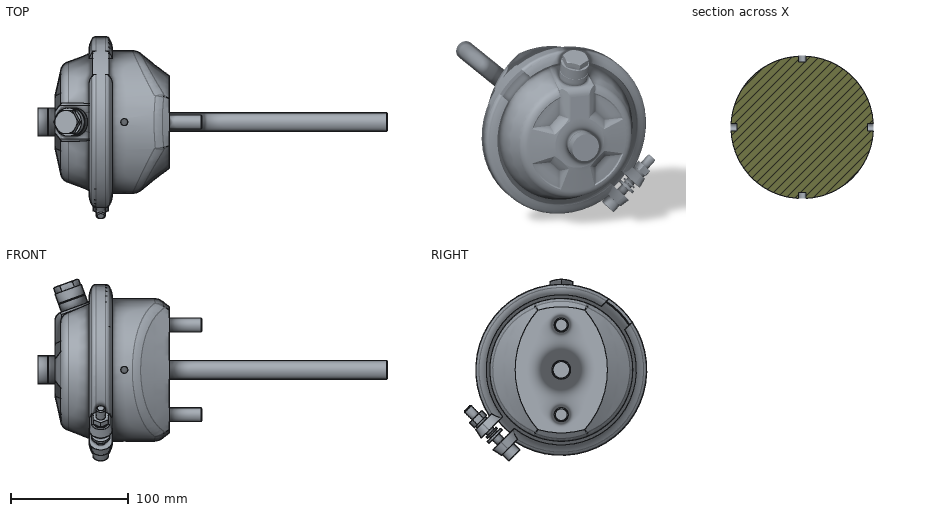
import cadquery as cq
import math

CAP_END_X = -111.9
CAP_GROOVE_X = -103.8
HUB_FACE_X = -97.4
COVER_SHOULDER_X = -92.5
COVER_FLOOR_X = -91.7
COVER_CONE_X = -85.6
BAND_X = -58.4
VENT_X = -38.4
PORT_TOP_X = -88.0
STUD_END_X = 27.7
ROD_END_X = 185.5

COVER_FLOOR_RADIUS = 43.0
COVER_SHOULDER_RADIUS = 44.0
COVER_SHOULDER_MID = (-90.3, 48.6)
COVER_CONE_RADIUS = 51.4
COVER_RIM_RADIUS = 60.2
HUB_RADIUS = 22.0
HUB_BASE_HALF = 29.0
ARM_BASE_HALF = 16.3
ARM_TOP_HALF = 9.0
CAP_DIAMETER = 24.0
GROOVE_WIDTH = 0.9
GROOVE_DEPTH = 0.4

PORT_TILT = 20.0
PORT_TOP_Z = 73.6
PORT_LENGTH = 21.7
PORT_DIAMETER = 24.0
PORT_GROOVE_DROP = 14.0
PLUG_HEIGHT = 5.5
PLUG_ACROSS_CORNERS = 22.6
PLUG_FACE_DIAMETER = 20.0
PORT_BLOCK_HALF = 16.3
PORT_BLOCK_ROUND = 8.0
ARM_EDGE_ROUND = 3.0
SEAT_BEVEL = 2.0

BAND_RADIUS = 72.7
BAND_HALF_WIDTH = 9.8
BAND_FLAT_HALF = 4.2
BAND_ROUND_HALF = 6.0
BAND_ROUND_RADIUS = 72.2
BAND_SHOULDER_HALF = 7.7
BAND_SHOULDER_RADIUS = 70.0
BAND_FLANK_HALF = 9.1
BAND_FLANK_RADIUS = 66.8
BAND_INNER_RADIUS = 63.8
RIM_RADIUS = 138.0 / 2
RIM_HALF_WIDTH = 5.2
BAND_GAP_HALF = 7.0
BAND_NOTCH_HALF = 14.0
BAND_STRIP_INNER = 69.6
BAND_STRIP_HALF_WIDTH = 7.0

BOLT_RADIUS = 79.6
BOLT_DIAMETER = 8.0
BOLT_END = 33.47
BOLT_HEAD_DIAMETER = 13.5
BOLT_HEAD_END = -23.25
LUG_INNER = 7.0
LUG_OUTER = 15.5
LUG_ROOT_RADIUS = 64.0
LUG_HALF_WIDTH = 9.6
LUG_DRAFT = 12.0
WASHER_DIAMETER = 12.0
WASHER_OUTER = 17.5
NUT_ACROSS_CORNERS = 15.0
NUT_OUTER = 23.4
COLLAR_DIAMETER = 16.0
COLLAR_START = -0.8
COLLAR_THICKNESS = 2.2
SPACER_START = 3.2
SPACER_THICKNESS = 1.5

BODY_RADIUS = 121.5 / 2
BACK_HALF_Y = 39.2
BACK_HALF_Z = 53.6
BACK_CORNER = (20.0, 50.7)
BACK_TAPER = 38.0
BLEND_RADIUS = 11.5
VENT_COUNT = 4
VENT_DIAMETER = 6.0
VENT_DEPTH = 5.0

STUD_DIAMETER = 12.0
STUD_Z = 38.1
ROD_DIAMETER = 16.0
END_CHAMFER = 1.0

OVERLAP = 1.0
TOLERANCE = 0.01
REACH = 100.0


def revolve_about_x(profile):
    return profile.close().revolve(360, (0, 0), (1, 0))


def cylinder_x(diameter, x_start, x_end):
    return cq.Workplane("YZ", origin=(x_start, 0, 0)).circle(diameter / 2).extrude(x_end - x_start)


def ring(plane, start, thickness, outer, inner):
    return plane.workplane(offset=start).circle(outer).circle(inner).extrude(thickness)


def taper_angle(base_half, top_half):
    return math.degrees(math.atan2(base_half - top_half, COVER_FLOOR_X - HUB_FACE_X))


def make_cover_shell():
    profile = (
        cq.Workplane("XY")
        .moveTo(COVER_FLOOR_X, 0)
        .lineTo(COVER_FLOOR_X, COVER_FLOOR_RADIUS)
        .lineTo(COVER_SHOULDER_X, COVER_SHOULDER_RADIUS)
        .threePointArc(COVER_SHOULDER_MID, (COVER_CONE_X, COVER_CONE_RADIUS))
        .lineTo(BAND_X - RIM_HALF_WIDTH, COVER_RIM_RADIUS)
        .lineTo(BAND_X, COVER_RIM_RADIUS)
        .lineTo(BAND_X, 0)
    )
    return revolve_about_x(profile)


def make_cover_star():
    """Drafted hub and four drafted arms, trimmed by a shallow cone."""
    floor = cq.Workplane("YZ", origin=(COVER_FLOOR_X, 0, 0))
    height = COVER_FLOOR_X - HUB_FACE_X
    span = 2 * COVER_FLOOR_RADIUS + 2 * height
    arm_draft = taper_angle(ARM_BASE_HALF, ARM_TOP_HALF)
    star = (
        floor.transformed(rotate=(0, 0, 45))
        .rect(2 * HUB_BASE_HALF, 2 * HUB_BASE_HALF)
        .extrude(-height, taper=taper_angle(HUB_BASE_HALF, HUB_RADIUS))
    )
    for length_y, length_z in ((span, 2 * ARM_BASE_HALF), (2 * ARM_BASE_HALF, span)):
        star = star.union(floor.rect(length_y, length_z).extrude(-height, taper=arm_draft))
    cone = revolve_about_x(
        cq.Workplane("XY")
        .moveTo(HUB_FACE_X, 0)
        .lineTo(HUB_FACE_X, HUB_RADIUS)
        .lineTo(COVER_SHOULDER_X, COVER_SHOULDER_RADIUS)
        .lineTo(COVER_FLOOR_X, COVER_SHOULDER_RADIUS)
        .lineTo(COVER_FLOOR_X, 0)
    )
    return star.intersect(cone)


def make_port_block():
    """Flat-faced upper arm that rises to a sloping seat for the port."""
    tilt = math.radians(PORT_TILT)
    seat_x = PORT_TOP_X + PORT_LENGTH * math.sin(tilt)
    seat_z = PORT_TOP_Z - PORT_LENGTH * math.cos(tilt)

    def seat_height(x):
        return seat_z + (x - seat_x) * math.tan(tilt)

    side = (
        cq.Workplane("XZ")
        .moveTo(HUB_FACE_X, 0)
        .lineTo(HUB_FACE_X, seat_height(HUB_FACE_X))
        .lineTo(BAND_X, seat_height(BAND_X))
        .lineTo(BAND_X, 0)
        .close()
        .extrude(REACH, both=True)
        .edges(cq.selectors.NearestToPointSelector((HUB_FACE_X, 0, seat_height(HUB_FACE_X))))
        .fillet(PORT_BLOCK_ROUND)
    )
    section = (
        cq.Workplane("XY")
        .moveTo(HUB_FACE_X, -ARM_TOP_HALF)
        .lineTo(COVER_FLOOR_X, -PORT_BLOCK_HALF)
        .lineTo(BAND_X, -PORT_BLOCK_HALF)
        .lineTo(BAND_X, PORT_BLOCK_HALF)
        .lineTo(COVER_FLOOR_X, PORT_BLOCK_HALF)
        .lineTo(HUB_FACE_X, ARM_TOP_HALF)
        .close()
        .extrude(REACH)
        .edges("|Z and <X")
        .fillet(ARM_EDGE_ROUND)
    )
    along_seat = cq.Plane(
        origin=(seat_x, 0, seat_z),
        xDir=(0, 1, 0),
        normal=(math.cos(tilt), 0, math.sin(tilt)),
    )
    seat_half = PORT_BLOCK_HALF - SEAT_BEVEL
    bevelled_bar = (
        cq.Workplane(along_seat)
        .moveTo(-PORT_BLOCK_HALF, -REACH)
        .lineTo(-PORT_BLOCK_HALF, -SEAT_BEVEL)
        .lineTo(-seat_half, 0)
        .lineTo(seat_half, 0)
        .lineTo(PORT_BLOCK_HALF, -SEAT_BEVEL)
        .lineTo(PORT_BLOCK_HALF, -REACH)
        .close()
        .extrude(REACH, both=True)
    )
    return section.intersect(side).intersect(bevelled_bar)


def make_port():
    tilt = math.radians(PORT_TILT)
    down = cq.Plane(
        origin=(PORT_TOP_X, 0, PORT_TOP_Z),
        xDir=(math.cos(tilt), 0, math.sin(tilt)),
        normal=(math.sin(tilt), 0, -math.cos(tilt)),
    )
    top = cq.Workplane(down)
    corner_bevel = (PLUG_ACROSS_CORNERS - PLUG_FACE_DIAMETER) / 2
    bevel_cone = (
        top.circle(PLUG_ACROSS_CORNERS / 2)
        .extrude(PLUG_HEIGHT)
        .faces(cq.selectors.NearestToPointSelector((PORT_TOP_X, 0, PORT_TOP_Z)))
        .chamfer(corner_bevel / 2, corner_bevel)
    )
    plug = top.polygon(6, PLUG_ACROSS_CORNERS).extrude(PLUG_HEIGHT).intersect(bevel_cone)
    barrel = (
        top.workplane(offset=PLUG_HEIGHT)
        .circle(PORT_DIAMETER / 2)
        .extrude(PORT_LENGTH - PLUG_HEIGHT + OVERLAP)
    )
    radius = PORT_DIAMETER / 2
    groove = ring(top, PORT_GROOVE_DROP, GROOVE_WIDTH, radius + OVERLAP, radius - GROOVE_DEPTH)
    return barrel.cut(groove).union(plug)


def make_cap():
    cap = cylinder_x(CAP_DIAMETER, CAP_END_X, COVER_FLOOR_X)
    radius = CAP_DIAMETER / 2
    station = cq.Workplane("YZ", origin=(CAP_GROOVE_X, 0, 0))
    return cap.cut(ring(station, 0, GROOVE_WIDTH, radius + OVERLAP, radius - GROOVE_DEPTH))


def make_rim():
    return cylinder_x(2 * RIM_RADIUS, BAND_X - RIM_HALF_WIDTH, BAND_X + RIM_HALF_WIDTH)


def diagonal_plane(side):
    """Local x points outward along the YZ diagonal; the normal is tangential."""
    return cq.Workplane(cq.Plane(origin=(BAND_X, 0, 0), xDir=(0, side, side), normal=(0, -1, 1)))


def make_band_cutter(side, half_length):
    """Block that covers the band section over a tangential length on one diagonal."""
    return (
        diagonal_plane(side)
        .center((BODY_RADIUS + REACH) / 2, 0)
        .rect(REACH - BODY_RADIUS, REACH)
        .extrude(half_length, both=True)
    )


def make_band():
    half_profile = (
        cq.Workplane("XY", origin=(BAND_X, 0, 0))
        .moveTo(0, BAND_INNER_RADIUS)
        .lineTo(BAND_HALF_WIDTH, BAND_INNER_RADIUS)
        .threePointArc((BAND_FLANK_HALF, BAND_FLANK_RADIUS), (BAND_SHOULDER_HALF, BAND_SHOULDER_RADIUS))
        .threePointArc((BAND_ROUND_HALF, BAND_ROUND_RADIUS), (BAND_FLAT_HALF, BAND_RADIUS))
        .lineTo(0, BAND_RADIUS)
    )
    half_band = revolve_about_x(half_profile)
    band = half_band.union(half_band.mirror("YZ", (BAND_X, 0, 0)))
    gap = make_band_cutter(-1, BAND_GAP_HALF)
    notch = make_band_cutter(1, BAND_NOTCH_HALF)
    strip_x = BAND_X - BAND_STRIP_HALF_WIDTH
    station = cq.Workplane("YZ", origin=(strip_x, 0, 0))
    bridge = ring(station, 0, 2 * BAND_STRIP_HALF_WIDTH, BAND_RADIUS, BAND_STRIP_INNER).intersect(notch)
    return band.cut(gap).cut(notch).union(bridge)


def make_clamp_bolt():
    root = diagonal_plane(-1)
    axis = root.center(BOLT_RADIUS, 0)

    def disc(start, end, diameter):
        return axis.workplane(offset=start).circle(diameter / 2).extrude(end - start)

    bolt = disc(BOLT_HEAD_END, BOLT_END, BOLT_DIAMETER).faces(">(0,-1,1)").chamfer(END_CHAMFER)
    bolt = bolt.union(disc(BOLT_HEAD_END, -LUG_OUTER, BOLT_HEAD_DIAMETER))
    for side in (1, -1):
        lug = (
            root.workplane(offset=side * LUG_INNER)
            .moveTo(LUG_ROOT_RADIUS, -LUG_HALF_WIDTH)
            .lineTo(BOLT_RADIUS, -LUG_HALF_WIDTH)
            .threePointArc((BOLT_RADIUS + LUG_HALF_WIDTH, 0), (BOLT_RADIUS, LUG_HALF_WIDTH))
            .lineTo(LUG_ROOT_RADIUS, LUG_HALF_WIDTH)
            .close()
            .extrude(side * (LUG_OUTER - LUG_INNER), taper=LUG_DRAFT)
        )
        bolt = bolt.union(lug)
    bolt = bolt.union(disc(LUG_OUTER, WASHER_OUTER, WASHER_DIAMETER))
    nut_plane = axis.workplane(offset=WASHER_OUTER)
    nut = nut_plane.polygon(6, NUT_ACROSS_CORNERS).extrude(NUT_OUTER - WASHER_OUTER)
    bolt = bolt.union(nut)
    bolt = bolt.union(disc(COLLAR_START, COLLAR_START + COLLAR_THICKNESS, COLLAR_DIAMETER))
    return bolt.union(disc(SPACER_START, SPACER_START + SPACER_THICKNESS, WASHER_DIAMETER))


def is_blend_edge(edge):
    """True for edges where the tapered end meets the cylinder."""
    ends = (edge.startPoint(), edge.endPoint())
    on_cylinder = all(abs(math.hypot(p.y, p.z) - BODY_RADIUS) < TOLERANCE for p in ends)
    return on_cylinder and all(p.x > BAND_X + TOLERANCE for p in ends)


def make_housing():
    """Cylinder whose rear end tapers to a narrow mounting face."""
    corner_y, corner_z = BACK_CORNER
    taper_body = (
        cq.Workplane("YZ")
        .moveTo(corner_y, -corner_z)
        .threePointArc((BACK_HALF_Y, 0), (corner_y, corner_z))
        .threePointArc((0, BACK_HALF_Z), (-corner_y, corner_z))
        .threePointArc((-BACK_HALF_Y, 0), (-corner_y, -corner_z))
        .threePointArc((0, -BACK_HALF_Z), (corner_y, -corner_z))
        .close()
        .extrude(BAND_X, taper=-BACK_TAPER)
    )
    housing = cylinder_x(2 * BODY_RADIUS, BAND_X, 0).intersect(taper_body)
    blend_edges = [edge for edge in housing.edges().vals() if is_blend_edge(edge)]
    housing = housing.newObject(blend_edges).fillet(BLEND_RADIUS)
    for turn in range(VENT_COUNT):
        vent = (
            cq.Workplane("XY", origin=(VENT_X, 0, BODY_RADIUS - VENT_DEPTH))
            .circle(VENT_DIAMETER / 2)
            .extrude(VENT_DEPTH + OVERLAP)
            .rotate((0, 0, 0), (1, 0, 0), turn * 360 / VENT_COUNT)
        )
        housing = housing.cut(vent)
    return housing


def make_pin(diameter, x_end, z):
    pin = cylinder_x(diameter, -OVERLAP, x_end).faces(">X").chamfer(END_CHAMFER)
    return pin.translate((0, 0, z))


result = make_cover_shell()
for feature in (
    make_cover_star(),
    make_port_block(),
    make_port(),
    make_cap(),
    make_rim(),
    make_band(),
    make_clamp_bolt(),
    make_housing(),
    make_pin(ROD_DIAMETER, ROD_END_X, 0),
    make_pin(STUD_DIAMETER, STUD_END_X, STUD_Z),
    make_pin(STUD_DIAMETER, STUD_END_X, -STUD_Z),
):
    result = result.union(feature)